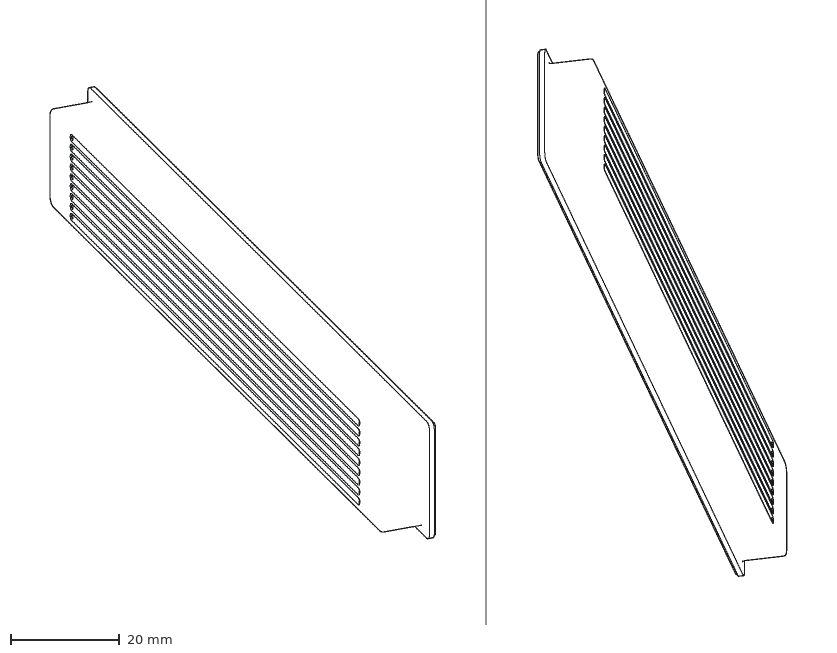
import cadquery as cq
import math

length = 160.0
depth = 10.0
height = 23.7

flange_thickness = 1.5
flange_corner_radius = 1.3

body_length = 156.5
body_height = 20.0
body_corner_radius = 2.0

flange_bevel = 0.5
body_rim_radius = 0.5
foot_radius = 0.5

groove_count = 9
groove_span = 16.0
groove_pitch = groove_span / (groove_count - 1)
groove_mouth_width = 1.5
groove_floor_radius = 0.88
groove_wall_angle = math.radians(30)
groove_left_end = -68.3
groove_right_end = 67.2

front_y = -depth / 2
back_y = depth / 2
flange_front_y = back_y - flange_thickness


def rounded_block(size_x, size_z, corner_radius, y_start, y_end):
    """Block between two Y positions with its four Y-direction edges rounded."""
    return (
        cq.Workplane("XZ", origin=(0, y_end, 0))
        .rect(size_x, size_z)
        .extrude(y_end - y_start)
        .edges("|Y")
        .fillet(corner_radius)
    )


def make_shell():
    """Flange with a bevelled back rim, and body with a rounded front rim and a filleted foot."""
    flange = rounded_block(length, height, flange_corner_radius, flange_front_y, back_y)
    flange = flange.faces(">Y").edges().chamfer(flange_bevel)
    body = rounded_block(body_length, body_height, body_corner_radius, front_y, flange_front_y)
    body = body.faces("<Y").edges().fillet(body_rim_radius)
    reach = foot_radius / 2
    body_outline = cq.selectors.BoxSelector(
        (-body_length / 2 - reach, flange_front_y - reach, -body_height / 2 - reach),
        (body_length / 2 + reach, flange_front_y + reach, body_height / 2 + reach),
    )
    return flange.union(body).edges(body_outline).fillet(foot_radius)


mouth_half = groove_mouth_width / 2
floor_half = groove_floor_radius * math.sin(groove_wall_angle)
wall_foot_y = front_y + (mouth_half - floor_half) * math.tan(groove_wall_angle)
floor_y = wall_foot_y + groove_floor_radius * (1 - math.cos(groove_wall_angle))
groove_start_x = groove_left_end + mouth_half
groove_end_x = groove_right_end - mouth_half


def make_groove(z):
    """Channel between two turned ends, as a solid to cut away."""
    channel = (
        cq.Workplane("YZ", origin=(groove_start_x, 0, z))
        .moveTo(front_y, -mouth_half)
        .lineTo(wall_foot_y, -floor_half)
        .threePointArc((floor_y, 0), (wall_foot_y, floor_half))
        .lineTo(front_y, mouth_half)
        .close()
        .extrude(groove_end_x - groove_start_x)
    )
    end = (
        cq.Workplane("YZ", origin=(0, 0, z))
        .moveTo(front_y, 0)
        .lineTo(front_y, mouth_half)
        .lineTo(wall_foot_y, floor_half)
        .radiusArc((floor_y, 0), -groove_floor_radius)
        .close()
        .revolve(360, (0, 0, 0), (1, 0, 0))
    )
    for x in (groove_start_x, groove_end_x):
        channel = channel.union(end.translate((x, 0, 0)))
    return channel


result = make_shell()
for index in range(groove_count):
    groove_z = index * groove_pitch - groove_span / 2
    result = result.cut(make_groove(groove_z))